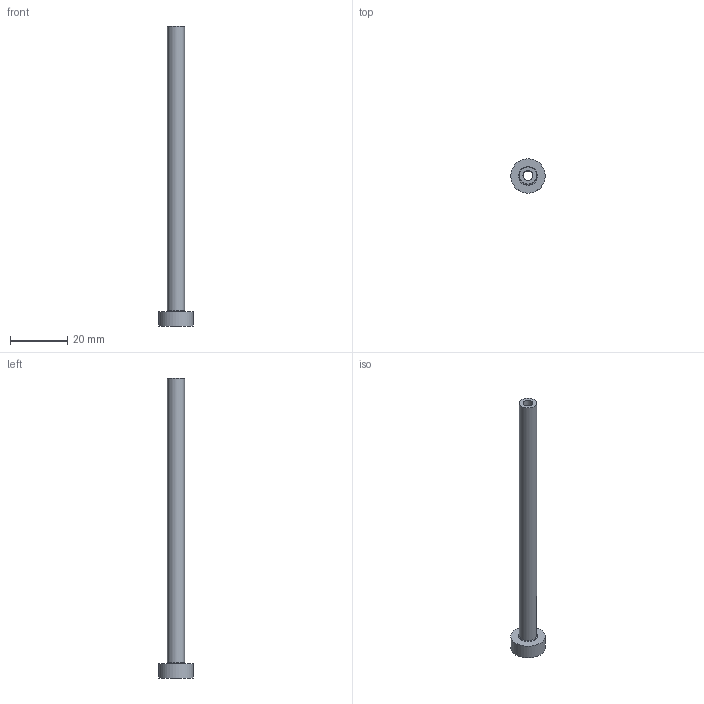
import cadquery as cq

total_length = 105.0
head_diameter = 12.0
head_height = 5.0
tube_diameter = 6.0
bore_diameter = 3.5
neck_fillet_radius = 0.3


def make_cylinder(diameter, height):
    """Cylinder on the Z axis, standing on the underside of the head."""
    return cq.Workplane("XY").circle(diameter / 2).extrude(height)


def round_neck(body):
    """Fillet the inside corner where the tube leaves the head."""
    neck_corner = cq.selectors.NearestToPointSelector((0, 0, head_height))
    return body.edges("%CIRCLE").edges(neck_corner).fillet(neck_fillet_radius)


head = make_cylinder(head_diameter, head_height)
tube = make_cylinder(tube_diameter, total_length)
bore = make_cylinder(bore_diameter, total_length)

result = round_neck(head.union(tube)).cut(bore)